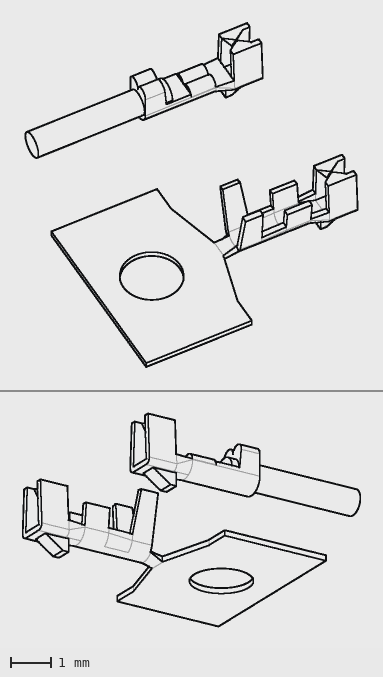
import cadquery as cq
import math


sheet = 0.15
pitch = 5.0

box_end = 0.8
wire_barrel_start = 1.3
wire_barrel_end = 2.0
grip_start = 2.7
grip_end = 3.3
strip_start = 3.7

box_half_width = 0.449
box_top_half_width = 0.38
box_height = 1.35
box_corner = sheet

spring_start = 0.2
spring_low = 0.875
spring_half_gap = 0.01

latch_half_width = 0.23
latch_depth = 0.35
latch_ramp_start = 0.25
latch_ramp_end = 0.76
latch_end = 0.94
latch_overlap = 0.08

trough_radius = 0.4
trough_inner_radius = trough_radius - sheet
front_neck_height = 0.41
rear_neck_height = 0.5
trough_split_angle = 30.0

wire_barrel_tilt = 6.5
wire_barrel_height = 1.01
grip_tilt = 12.3
grip_height = 1.65
grip_edge_setback = 0.1

hump_radius = trough_radius / 2
wire_crimp_side_height = 0.41
grip_crimp_side_height = 1.0

wire_radius = 0.35
wire_start = 2.505
wire_end = 6.305

strip_width = pitch
strip_end = 7.1
strip_neck_half_width = 0.25
strip_shoulder_half_width = 1.75
strip_shoulder = 4.1
strip_hole_diameter = 1.6
strip_hole_station = 5.6
tail_half_angle = 52.0


def section_plane(station):
    """Cross-section plane at a station: local axes are X and Z, and extrusion runs toward -Y."""
    return cq.Workplane("XZ").workplane(offset=station)


def loft_sections(draw_first, first_station, draw_second, second_station):
    """Straight-sided transition between two cross-sections with matching edges."""
    first = draw_first(section_plane(first_station)).val()
    second = draw_second(section_plane(second_station)).val()
    return cq.Workplane(obj=cq.Solid.makeLoft([first, second], True))


def trough_point(radius, angle):
    """Point on a trough arc, with the angle in degrees measured from straight down."""
    turn = math.radians(angle)
    return (radius * math.sin(turn), trough_radius - radius * math.cos(turn))


def box_wall_x(height):
    """Outer half width of the box at a height: its walls lean inward above the bottom corner."""
    rise = (height - box_corner) / (box_height - box_corner)
    return box_half_width + rise * (box_top_half_width - box_half_width)


def box_underside(sketch, height):
    """Outer outline of the box, from its left wall top, under the floor, to its right wall top."""
    floor_x = box_half_width - box_corner
    mid_x = floor_x + box_corner * math.sqrt(0.5)
    mid_z = box_corner * (1 - math.sqrt(0.5))
    return (
        sketch.moveTo(-box_wall_x(height), height)
        .lineTo(-box_half_width, box_corner)
        .threePointArc((-mid_x, mid_z), (-floor_x, 0))
        .lineTo(floor_x, 0)
        .threePointArc((mid_x, mid_z), (box_half_width, box_corner))
        .lineTo(box_wall_x(height), height)
    )


def box_section(sketch, height):
    """U-shaped box section cut off at a height."""
    top_x = box_wall_x(height) - sheet
    floor_x = box_wall_x(sheet) - sheet
    return (
        box_underside(sketch, height)
        .lineTo(top_x, height)
        .lineTo(floor_x, sheet)
        .lineTo(-floor_x, sheet)
        .lineTo(-top_x, height)
        .close()
    )


def trough_underside(sketch, tangent_angle):
    """Outer trough arc in three pieces, drawn from the left tangent point to the right one."""
    split = trough_split_angle
    side = (tangent_angle + split) / 2
    return (
        sketch.lineTo(*trough_point(trough_radius, -tangent_angle))
        .threePointArc(trough_point(trough_radius, -side), trough_point(trough_radius, -split))
        .threePointArc(trough_point(trough_radius, 0), trough_point(trough_radius, split))
        .threePointArc(trough_point(trough_radius, side), trough_point(trough_radius, tangent_angle))
    )


def open_section(sketch, tilt, height):
    """Open trough whose side walls lean outward by the tilt and end square to themselves."""
    tangent_angle = 90 - tilt
    lean = math.radians(tilt)
    outer_x, outer_z = trough_point(trough_radius, tangent_angle)
    inner_x, inner_z = trough_point(trough_inner_radius, tangent_angle)
    rise = height - inner_z
    spread = rise * math.tan(lean)
    return (
        trough_underside(sketch.moveTo(-outer_x - spread, outer_z + rise), tangent_angle)
        .lineTo(outer_x + spread, outer_z + rise)
        .lineTo(inner_x + spread, height)
        .lineTo(inner_x, inner_z)
        .threePointArc((0, sheet), (-inner_x, inner_z))
        .lineTo(-inner_x - spread, height)
        .close()
    )


def filled_section(sketch, height):
    """Trough filled up to a flat top."""
    return (
        trough_underside(sketch.moveTo(-trough_radius, height), 90)
        .lineTo(trough_radius, height)
        .close()
    )


def crimped_section(sketch, side_height):
    """Trough closed by two rolled humps that meet on the centreline."""
    crest = side_height + hump_radius
    return (
        trough_underside(sketch.moveTo(-trough_radius, side_height), 90)
        .lineTo(trough_radius, side_height)
        .threePointArc((hump_radius, crest), (0, side_height))
        .threePointArc((-hump_radius, crest), (-trough_radius, side_height))
        .close()
    )


def make_spring(side):
    """Contact spring: a tetrahedron on one box wall with its tip at the top of the centreline."""
    wall_top_x = side * (box_top_half_width - sheet)
    wall_low_x = side * (box_wall_x(spring_low) - sheet)
    middle = (spring_start + box_end) / 2
    corners = [
        cq.Vector(wall_top_x, -spring_start, box_height),
        cq.Vector(wall_top_x, -box_end, box_height),
        cq.Vector(side * spring_half_gap, -middle, box_height),
        cq.Vector(wall_low_x, -middle, spring_low),
    ]
    faces = []
    for left_out in corners:
        triangle = [corner for corner in corners if corner is not left_out]
        faces.append(cq.Face.makeFromWires(cq.Wire.makePolygon(triangle, close=True)))
    return cq.Workplane(obj=cq.Solid.makeSolid(cq.Shell.makeShell(faces)))


def make_latch():
    """Ramped latch below the box floor."""
    return (
        cq.Workplane("YZ")
        .moveTo(-latch_ramp_start, latch_overlap)
        .lineTo(-latch_ramp_start, 0)
        .lineTo(-latch_ramp_end, -latch_depth)
        .lineTo(-latch_end, -latch_depth)
        .lineTo(-latch_end, latch_overlap)
        .close()
        .extrude(latch_half_width, both=True)
    )


def make_contact_box():
    """Box with its two contact springs and the latch."""
    box = box_section(section_plane(0), box_height).extrude(box_end)
    for side in (-1, 1):
        box = box.union(make_spring(side))
    return box.union(make_latch())


def slant_grip_edge(grip):
    """Slope the grip edge that faces the box, starting at the top of the rear neck."""
    waste = (
        cq.Workplane("YZ")
        .moveTo(-grip_start, rear_neck_height)
        .lineTo(-grip_start, grip_height)
        .lineTo(-grip_start - grip_edge_setback, grip_height)
        .close()
        .extrude(pitch / 2, both=True)
    )
    return grip.cut(waste)


def make_crimped_terminal():
    """Terminal crimped around its wire, as one solid."""
    front_neck = loft_sections(
        lambda sketch: box_underside(sketch, front_neck_height).close(),
        box_end,
        lambda sketch: filled_section(sketch, front_neck_height),
        wire_barrel_start,
    )
    wire_barrel = crimped_section(section_plane(wire_barrel_start), wire_crimp_side_height).extrude(
        wire_barrel_end - wire_barrel_start
    )
    rear_neck = (
        filled_section(section_plane(wire_barrel_end), rear_neck_height)
        .extrude(grip_start - wire_barrel_end)
    )
    grip = crimped_section(section_plane(grip_start), grip_crimp_side_height).extrude(grip_end - grip_start)
    wire = (
        section_plane(wire_start)
        .center(0, sheet + wire_radius)
        .circle(wire_radius)
        .extrude(wire_end - wire_start)
    )
    terminal = make_contact_box()
    for section in (front_neck, wire_barrel, rear_neck, slant_grip_edge(grip), wire):
        terminal = terminal.union(section)
    return terminal


def make_tail():
    """Tail that flattens from the curved grip floor to the carrier strip."""

    def curved_end(sketch):
        return (
            sketch.moveTo(*trough_point(trough_radius, -tail_half_angle))
            .threePointArc((0, 0), trough_point(trough_radius, tail_half_angle))
            .lineTo(*trough_point(trough_inner_radius, tail_half_angle))
            .threePointArc((0, sheet), trough_point(trough_inner_radius, -tail_half_angle))
            .close()
        )

    def flat_end(sketch):
        return (
            sketch.moveTo(-strip_neck_half_width, 0)
            .lineTo(strip_neck_half_width, 0)
            .lineTo(strip_neck_half_width, sheet)
            .lineTo(-strip_neck_half_width, sheet)
            .close()
        )

    return loft_sections(curved_end, grip_end, flat_end, strip_start)


def make_carrier_strip():
    """Flat carrier strip with sloped shoulders and a feed hole."""
    outline = [
        (-strip_neck_half_width, -strip_start),
        (strip_neck_half_width, -strip_start),
        (strip_shoulder_half_width, -strip_shoulder),
        (strip_width / 2, -strip_shoulder),
        (strip_width / 2, -strip_end),
        (-strip_width / 2, -strip_end),
        (-strip_width / 2, -strip_shoulder),
        (-strip_shoulder_half_width, -strip_shoulder),
    ]
    hole = cq.Workplane("XY").center(0, -strip_hole_station).circle(strip_hole_diameter / 2).extrude(sheet)
    return cq.Workplane("XY").polyline(outline).close().extrude(sheet).cut(hole)


def make_open_terminal():
    """Uncrimped terminal with its carrier strip, as one solid."""
    front_neck = loft_sections(
        lambda sketch: box_section(sketch, front_neck_height),
        box_end,
        lambda sketch: open_section(sketch, wire_barrel_tilt, front_neck_height),
        wire_barrel_start,
    )
    wire_barrel = (
        open_section(section_plane(wire_barrel_start), wire_barrel_tilt, wire_barrel_height)
        .extrude(wire_barrel_end - wire_barrel_start)
    )
    rear_neck = loft_sections(
        lambda sketch: open_section(sketch, wire_barrel_tilt, rear_neck_height),
        wire_barrel_end,
        lambda sketch: open_section(sketch, grip_tilt, rear_neck_height),
        grip_start,
    )
    grip = (
        open_section(section_plane(grip_start), grip_tilt, grip_height)
        .extrude(grip_end - grip_start)
    )
    terminal = make_contact_box()
    barrel_sections = (front_neck, wire_barrel, rear_neck, slant_grip_edge(grip))
    for section in (*barrel_sections, make_tail(), make_carrier_strip()):
        terminal = terminal.union(section)
    return terminal


crimped_terminal = make_crimped_terminal()
open_terminal = make_open_terminal().translate((pitch, 0, 0))

result = cq.Compound.makeCompound([crimped_terminal.solids().val(), open_terminal.solids().val()])